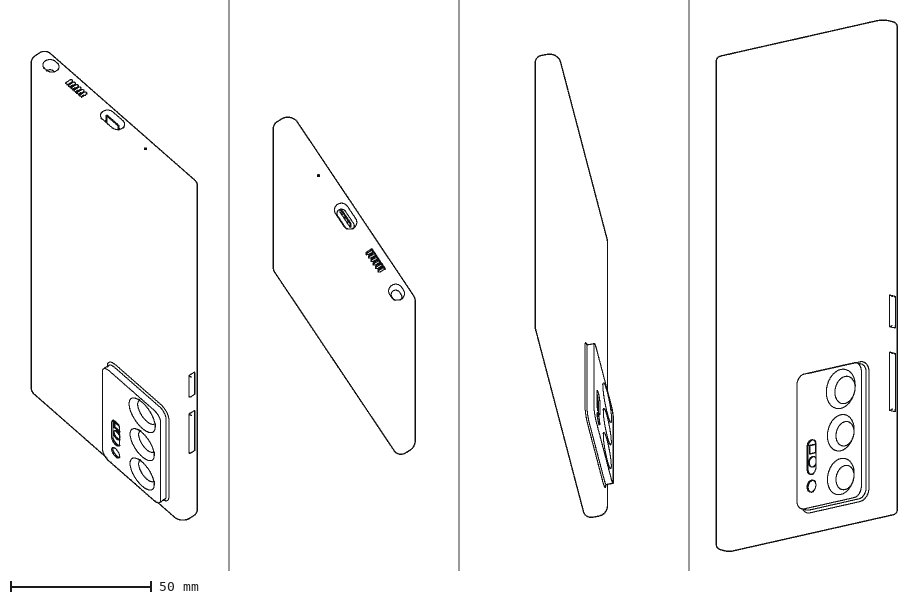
import cadquery as cq
import math

BODY_WIDTH = 84.5
BODY_THICKNESS = 9.0
BODY_HEIGHT = 180.2
CAMERA_SIDE_RADIUS = 4.1
SCREEN_SIDE_RADIUS = 2.9
END_RADIUS = 1.6

ISLAND_LEFT = 2.7
ISLAND_WIDTH = 31.7
ISLAND_TOP = -34.8
ISLAND_HEIGHT = 49.4
ISLAND_RISE = 3.0
ISLAND_CORNER_RADIUS = 3.6
SKIRT_SPREAD = 0.9
SKIRT_RISE = 0.5

LENS_X = 24.3
LENS_PITCH = 16.0
TOP_LENS_Z = -43.3
LENS_RIM_DIAMETERS = [14.2, 13.2, 13.2]
LENS_RIM_WIDTH = 2.2
LENS_DEPTH = 2.2

SENSOR_X = 10.0
SENSOR_WIDTH = 4.3
SENSOR_SLOT_LENGTH = 12.6
SENSOR_SLOT_Z = -65.8
SENSOR_DEPTH = 0.5
SENSOR_INNER_DEPTH = 0.4
SENSOR_WINDOW_SIDE = 3.0
SENSOR_WINDOW_Z = -62.7
SENSOR_EYE_DIAMETER = 3.8
SENSOR_EYE_Z = -67.5
FLASH_Z = -76.5

PORT_Y = 0.2
PORT_DEPTH = 4.5
PORT_WALL_INSET = 0.9
PORT_WIDTH = 5.0
PEN_X = -34.2
PEN_LENGTH = 6.1
USB_X = -0.7
USB_LENGTH = 10.5
TONGUE_LENGTH = 6.5
TONGUE_THICKNESS = 0.4
TONGUE_HEIGHT = 4.1
SPEAKER_X = -20.4
SPEAKER_SLOT_COUNT = 6
SPEAKER_PITCH = 1.53
SPEAKER_SLOT_WIDTH = 1.17
SPEAKER_SLOT_HEIGHT = 2.7
SPEAKER_DEPTH = 1.8
MIC_X = 17.1
MIC_DIAMETER = 0.7
MIC_DEPTH = 1.8

BUTTON_PROUD = 0.7
BUTTON_WIDTH = 2.5
BUTTON_EDGE_RADIUS = 0.63
BUTTON_ROOT = 1.8
BUTTON_Y = 0.2
POWER_LENGTH = 11.5
POWER_Z = -16.5
VOLUME_LENGTH = 21.3
VOLUME_Z = -42.4

BACK_Y = -BODY_THICKNESS / 2
ISLAND_FACE_Y = BACK_Y - ISLAND_RISE
TOP_Z = BODY_HEIGHT / 2
SIDE_X = BODY_WIDTH / 2


def facing_back(y):
    """Plane at the given Y whose normal points to -Y; its local axes follow X and Z."""
    return cq.Workplane("XZ", origin=(0, y, 0))


def on_top_end(x):
    """Plane on the top end, centred on the row of openings."""
    return cq.Workplane("XY", origin=(x, PORT_Y, TOP_Z))


def make_body():
    slab = cq.Workplane("XY").box(BODY_WIDTH, BODY_THICKNESS, BODY_HEIGHT)
    slab = slab.edges("|Z and <Y").fillet(CAMERA_SIDE_RADIUS)
    slab = slab.edges("|Z and >Y").fillet(SCREEN_SIDE_RADIUS)
    return slab.faces("<Z or >Z").edges().fillet(END_RADIUS)


def make_button(length, z):
    button = cq.Workplane("XY").box(BUTTON_ROOT + BUTTON_PROUD, BUTTON_WIDTH, length)
    button = button.faces(">X").edges().fillet(BUTTON_EDGE_RADIUS)
    return button.translate((SIDE_X + (BUTTON_PROUD - BUTTON_ROOT) / 2, BUTTON_Y, z))


def make_island():
    centre_x = ISLAND_LEFT + ISLAND_WIDTH / 2
    centre_z = ISLAND_TOP - ISLAND_HEIGHT / 2
    block = (
        facing_back(BACK_Y)
        .center(centre_x, centre_z)
        .rect(ISLAND_WIDTH, ISLAND_HEIGHT)
        .extrude(ISLAND_RISE)
        .edges("|Y")
        .fillet(ISLAND_CORNER_RADIUS)
    )
    skirt_taper = math.degrees(math.atan2(SKIRT_SPREAD, SKIRT_RISE))
    skirt = (
        facing_back(BACK_Y)
        .center(centre_x, centre_z)
        .sketch()
        .rect(ISLAND_WIDTH + 2 * SKIRT_SPREAD, ISLAND_HEIGHT + 2 * SKIRT_SPREAD)
        .vertices()
        .fillet(ISLAND_CORNER_RADIUS + SKIRT_SPREAD)
        .finalize()
        .extrude(SKIRT_RISE, taper=skirt_taper)
    )
    return block.union(skirt)


def lens_cutter(index, rim_diameter):
    z = TOP_LENS_Z - index * LENS_PITCH
    taper = math.degrees(math.atan2(LENS_RIM_WIDTH, LENS_DEPTH))
    rim = facing_back(ISLAND_FACE_Y).center(LENS_X, z).circle(rim_diameter / 2)
    return rim.extrude(-LENS_DEPTH, taper=taper)


def sensor_cutter():
    """Slot holding a square window and a round eye, plus a separate round flash."""
    slot = (
        facing_back(ISLAND_FACE_Y)
        .center(SENSOR_X, SENSOR_SLOT_Z)
        .slot2D(SENSOR_SLOT_LENGTH, SENSOR_WIDTH, 90)
        .extrude(-SENSOR_DEPTH)
    )
    inner_depth = SENSOR_DEPTH + SENSOR_INNER_DEPTH
    window = (
        facing_back(ISLAND_FACE_Y)
        .center(SENSOR_X, SENSOR_WINDOW_Z)
        .rect(SENSOR_WINDOW_SIDE, SENSOR_WINDOW_SIDE)
        .extrude(-inner_depth)
    )
    eye = (
        facing_back(ISLAND_FACE_Y)
        .center(SENSOR_X, SENSOR_EYE_Z)
        .circle(SENSOR_EYE_DIAMETER / 2)
        .extrude(-inner_depth)
    )
    flash = (
        facing_back(ISLAND_FACE_Y)
        .center(SENSOR_X, FLASH_Z)
        .circle(SENSOR_WIDTH / 2)
        .extrude(-SENSOR_DEPTH)
    )
    return slot.union(window).union(eye).union(flash)


def port_cutter(x, length):
    """Round-ended opening whose walls lean inward toward its floor."""
    taper = math.degrees(math.atan2(PORT_WALL_INSET, PORT_DEPTH))
    return on_top_end(x).slot2D(length, PORT_WIDTH).extrude(-PORT_DEPTH, taper=taper)


def usb_tongue():
    """Thin blade standing on the floor of the USB port."""
    floor = cq.Workplane("XY", origin=(USB_X, PORT_Y, TOP_Z - PORT_DEPTH))
    return floor.rect(TONGUE_LENGTH, TONGUE_THICKNESS).extrude(TONGUE_HEIGHT)


def speaker_cutter():
    """Row of slots with a flat edge toward -Y and an arched edge toward +Y."""
    half_width = SPEAKER_SLOT_WIDTH / 2
    half_height = SPEAKER_SLOT_HEIGHT / 2
    shoulder = half_height - half_width
    first = -(SPEAKER_SLOT_COUNT - 1) / 2 * SPEAKER_PITCH
    slots = cq.Workplane("XY")
    for index in range(SPEAKER_SLOT_COUNT):
        slot = (
            on_top_end(SPEAKER_X + first + index * SPEAKER_PITCH)
            .moveTo(-half_width, -half_height)
            .lineTo(half_width, -half_height)
            .lineTo(half_width, shoulder)
            .threePointArc((0, half_height), (-half_width, shoulder))
            .close()
            .extrude(-SPEAKER_DEPTH)
        )
        slots = slots.add(slot)
    return slots.combine()


def mic_cutter():
    return on_top_end(MIC_X).circle(MIC_DIAMETER / 2).extrude(-MIC_DEPTH)


phone = make_body().union(make_island())
phone = phone.union(make_button(POWER_LENGTH, POWER_Z))
phone = phone.union(make_button(VOLUME_LENGTH, VOLUME_Z))

for lens_index, lens_diameter in enumerate(LENS_RIM_DIAMETERS):
    phone = phone.cut(lens_cutter(lens_index, lens_diameter))
phone = phone.cut(sensor_cutter())

phone = phone.cut(port_cutter(PEN_X, PEN_LENGTH))
phone = phone.cut(port_cutter(USB_X, USB_LENGTH)).union(usb_tongue())
phone = phone.cut(speaker_cutter()).cut(mic_cutter())

result = phone